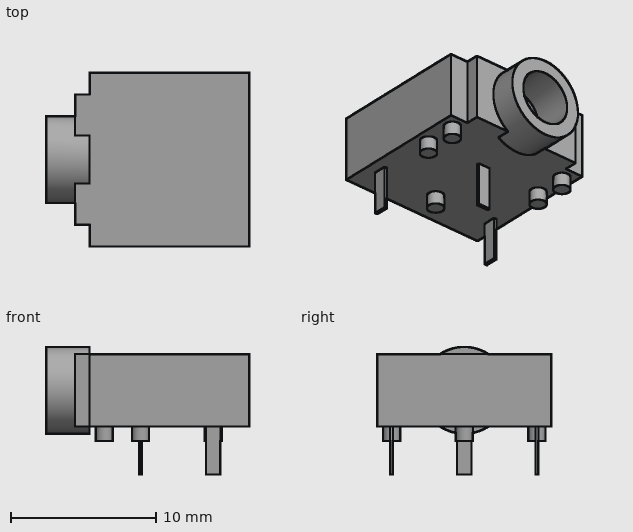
import cadquery as cq

body_length = 11.0
body_width = 12.0
body_height = 5.0

panel_width = 9.0
panel_thickness = 1.0

sleeve_diameter = 6.0
sleeve_length = 3.0
bore_diameter = 4.0
bore_depth = sleeve_length
axis_height = body_height / 2

peg_diameter = 1.2
peg_height = 1.0
front_peg_x = 1.0
middle_x = 3.5
rear_x = 8.5
side_y = 5.0
peg_positions = [
    (front_peg_x, -side_y),
    (front_peg_x, side_y),
    (middle_x, -side_y),
    (middle_x, side_y),
    (rear_x, 0.0),
]

pin_width = 1.0
pin_thickness = 0.2
pin_length = 3.3


def make_housing():
    """Rectangular housing with the raised panel on its front face."""
    centered = (False, True, False)
    body = cq.Workplane("XY").box(body_length, body_width, body_height, centered=centered)
    panel = (
        cq.Workplane("XY")
        .box(panel_thickness, panel_width, body_height, centered=centered)
        .translate((-panel_thickness, 0, 0))
    )
    return body.union(panel)


def socket_cylinder(diameter, length):
    """Cylinder along X that starts at the open end of the sleeve."""
    return (
        cq.Workplane("YZ", origin=(-sleeve_length, 0, axis_height))
        .circle(diameter / 2)
        .extrude(length)
    )


def make_pegs():
    return cq.Workplane("XY").pushPoints(peg_positions).circle(peg_diameter / 2).extrude(-peg_height)


def make_pin(x, y, size_x, size_y):
    return cq.Workplane("XY").center(x, y).rect(size_x, size_y).extrude(-pin_length)


result = make_housing()
result = result.union(socket_cylinder(sleeve_diameter, sleeve_length))
result = result.cut(socket_cylinder(bore_diameter, bore_depth))
result = result.union(make_pegs())

result = result.union(make_pin(middle_x, 0, pin_thickness, pin_width))
for pin_y in (-side_y, side_y):
    result = result.union(make_pin(rear_x, pin_y, pin_width, pin_thickness))